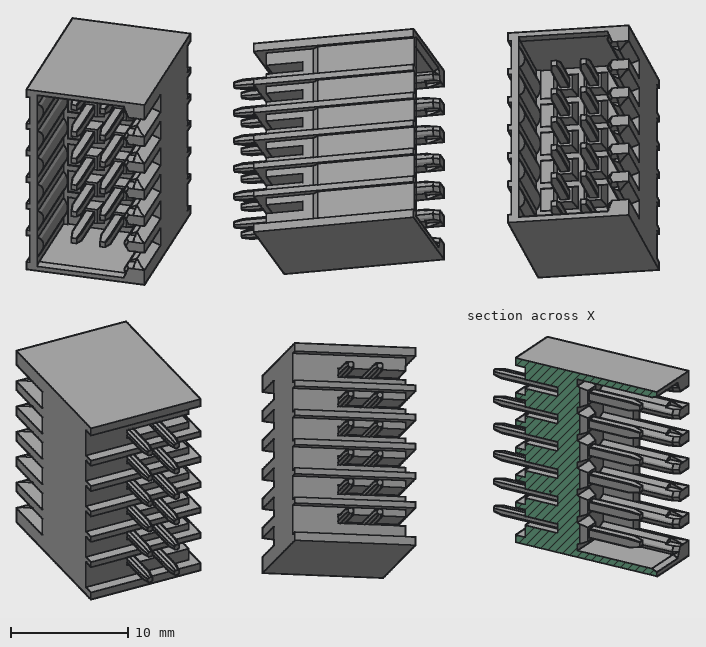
import cadquery as cq

width = 10.5
height = 17.2
overall_length = 16.7
pitch = 2.55
row_count = 6
rows = [(i - (row_count - 1) / 2) * pitch for i in range(row_count)]
dividers = [(i - row_count / 2) * pitch for i in range(1, row_count)]
end_dividers = [-row_count / 2 * pitch, row_count / 2 * pitch]

flange_length = 14.09
housing_length = 13.14
end_flange = 0.72
rib_thickness = 0.52
rib_height = 0.3
recess_depth = 0.67
recess_start = 8.5
recess_full = 8.98
bay_height = pitch - rib_thickness

cavity_left = 1.0
cavity_depth = 7.91
end_wall = 0.65
end_wall_mouth = 0.43
side_mouth = 0.95
lead_in = 0.5

crest_x = 9.46
crest_half = 0.83
tip_half = 0.45
nose_x = 8.53
nose_mid_x = 8.67
nose_mid_half = 0.3
nose_end_x = 8.85
nose_end_half = 0.53
nose_clearance = 0.02
tip_nose_x = 8.85
tip_shoulder_x = 9.06
tip_step_depth = 1.25
tip_chamfer_depth = 0.35
tip_chamfer_half = 0.58
side_gap_depth = 4.9
corner_x = 8.63
corner_half = 8.17

first_column = 3.61
pin_columns = [first_column, first_column + pitch]
contact_size = 0.86
contact_bevel = 0.07
tail_size = 0.79
tail_bevel = 0.2
pin_front = 2.12
pin_tip_size = 0.48
front_taper = 0.95
rear_taper = 0.8
boss_base = bay_height
boss_top = 1.29
boss_height = 0.86
channel_left = 1.36
channel_depth = 0.14
channel_draft = 0.1
slot_start = 9.95

guide_half = 0.96
guide_rise = 0.4
guide_lead_in = 0.6


def box(x0, x1, y0, y1, z0, z1):
    return cq.Workplane("XY").box(x1 - x0, y1 - y0, z1 - z0, centered=False).translate((x0, y0, z0))


def section(y, x=0.0, z=0.0):
    """Sketch plane across the part: local axes are X and Z, negative extrusion runs toward +Y."""
    return cq.Workplane("XZ", origin=(x, y, z))


def octagon(size, bevel):
    """Corner points of a square with bevelled corners."""
    half = size / 2
    flat = half - bevel
    return [(half, -flat), (half, flat), (flat, half), (-flat, half),
            (-half, flat), (-half, -flat), (-flat, -half), (flat, -half)]


def shell():
    """Solid block with the grooved left side and the rear cut back between the flanges."""
    body = box(0, width, 0, flange_length, -height / 2, height / 2)
    groove_points = [(0, 0), (rib_height, 0), (rib_height, recess_start), (recess_depth, recess_full),
                     (recess_depth, housing_length), (width, housing_length), (width, flange_length),
                     (0, flange_length)]
    edges = [-height / 2 + end_flange]
    for z in dividers:
        edges += [z - rib_thickness / 2, z + rib_thickness / 2]
    edges.append(height / 2 - end_flange)
    for low, high in zip(edges[::2], edges[1::2]):
        groove = cq.Workplane("XY", origin=(0, 0, low)).polyline(groove_points).close().extrude(high - low)
        body = body.cut(groove)
    return body


def cavity():
    """Mating cavity, flared at its mouth and open to +X near the front."""
    top = height / 2 - end_wall
    mouth_top = height / 2 - end_wall_mouth
    main = box(cavity_left, crest_x, 0, cavity_depth, -top, top)
    side_gap = box(crest_x, width, 0, side_gap_depth, -top, top)

    def mouth_rect(plane, left, half):
        return plane.moveTo((left + crest_x) / 2, 0).rect(crest_x - left, 2 * half)

    mouth = mouth_rect(section(0), side_mouth, mouth_top)
    mouth = mouth_rect(mouth.workplane(offset=-lead_in, origin=(0, 0, 0)), cavity_left, top).loft(ruled=True)
    return main.union(side_gap).union(mouth)


def finger():
    """Divider finger with a pointed, slightly rounded nose, narrowed to a stepped lead-in at its tip."""
    full = (
        section(0).moveTo(nose_end_x, -nose_end_half)
        .threePointArc((nose_mid_x, -nose_mid_half), (nose_x, 0))
        .threePointArc((nose_mid_x, nose_mid_half), (nose_end_x, nose_end_half))
        .lineTo(crest_x, crest_half).lineTo(width, tip_half)
        .lineTo(width, -tip_half).lineTo(crest_x, -crest_half)
        .close().extrude(-cavity_depth)
    )
    step = box(nose_x, crest_x, 0, tip_step_depth, tip_half, crest_half)
    ramp = (
        cq.Workplane("YZ", origin=(crest_x, 0, 0))
        .moveTo(0, tip_half).lineTo(tip_chamfer_depth, tip_chamfer_half)
        .lineTo(tip_step_depth, crest_half).lineTo(0, crest_half)
        .close().extrude(width - crest_x)
    )
    clear_x = nose_x - nose_clearance
    nose_cut = (
        section(0).polyline([(clear_x, 0), (tip_nose_x, 0), (tip_shoulder_x, tip_half), (clear_x, tip_half)])
        .close().workplane(offset=-lead_in)
        .polyline([(clear_x, 0), (nose_x, 0), (nose_end_x, nose_end_half), (clear_x, nose_end_half)])
        .close().loft(ruled=True)
    )
    for cutter in (step, ramp, nose_cut):
        full = full.cut(cutter).cut(cutter.mirror("XY"))
    return full


def end_corner(sign):
    """Solid corner joining an end finger to the end wall."""
    z_finger = row_count / 2 * pitch
    outline = [(corner_x, height / 2), (corner_x, corner_half), (tip_nose_x, z_finger),
               (width, z_finger), (width, height / 2)]
    points = [(x, sign * z) for x, z in outline]
    return section(0).polyline(points).close().extrude(-cavity_depth)


def guide(z):
    """Arched guide running down the left cavity wall, sloped at its front."""
    arch = (
        section(0, side_mouth, z).moveTo(0, -guide_half)
        .threePointArc((guide_rise, 0), (0, guide_half)).close().extrude(-cavity_depth)
    )
    slope = (
        cq.Workplane("XY", origin=(side_mouth, 0, z - guide_half))
        .polyline([(0, 0), (guide_rise, 0), (guide_rise, guide_lead_in)])
        .close().extrude(2 * guide_half)
    )
    return arch.cut(slope)


def channel(low, high):
    """Shallow channel in the cavity floor with a drafted wall toward the bosses."""
    right = pin_columns[0] - boss_base / 2
    bottom = cavity_depth + channel_depth
    outline = [(channel_left, cavity_depth), (right, cavity_depth),
               (right - channel_draft, bottom), (channel_left, bottom)]
    return cq.Workplane("XY", origin=(0, 0, low)).polyline(outline).close().extrude(high - low)


def boss(x, z):
    """Square tapered boss standing on the cavity floor around a pin."""
    base = section(cavity_depth, x, z).rect(boss_base, boss_base)
    return base.workplane(offset=boss_height).rect(boss_top, boss_top).loft(ruled=True)


def pin(x, z):
    """Square contact at the front, more heavily bevelled solder tail at the rear, both with tapered tips."""

    def half_pin(y_tip, y_full, size, bevel):
        full = octagon(size, bevel)
        small = octagon(pin_tip_size, bevel * pin_tip_size / size)
        tip = (
            section(y_tip, x, z).polyline(small).close()
            .workplane(offset=y_tip - y_full).polyline(full).close().loft(ruled=True)
        )
        return tip.union(section(y_full, x, z).polyline(full).close().extrude(y_full - slot_start))

    contact = half_pin(pin_front, pin_front + front_taper, contact_size, contact_bevel)
    tail = half_pin(overall_length, overall_length - rear_taper, tail_size, tail_bevel)
    return contact.union(tail)


result = shell().cut(cavity())

blade = finger()
outer_limit = box(0, width, 0, flange_length, -height / 2, height / 2)
for z in dividers + end_dividers:
    result = result.union(blade.translate((0, 0, z)).intersect(outer_limit))
for sign in (1, -1):
    result = result.union(end_corner(sign))

cavity_half = height / 2 - end_wall
slot_right = pin_columns[-1] + tail_size / 2
for z in rows:
    low = -cavity_half if z == rows[0] else z - bay_height / 2
    high = cavity_half if z == rows[-1] else z + bay_height / 2
    slot = box(0, slot_right, slot_start, housing_length, z - tail_size / 2, z + tail_size / 2)
    result = result.cut(slot).cut(channel(low, high)).union(guide(z))
    for x in pin_columns:
        result = result.union(boss(x, z)).union(pin(x, z))